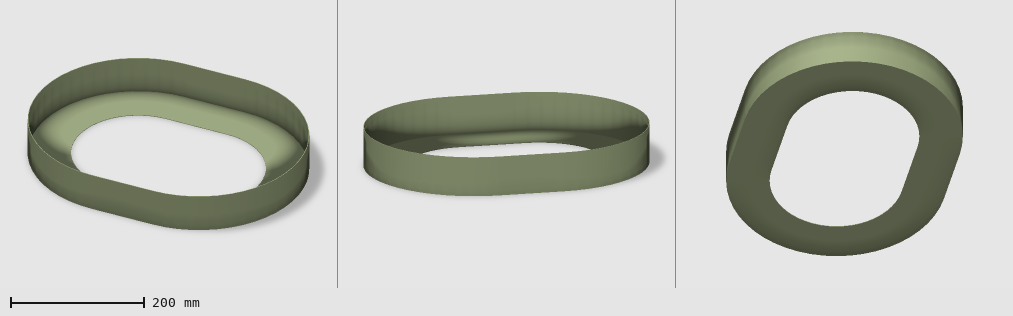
import cadquery as cq

length = 430.0
width = 330.0
height = 60.0

wall = 1.0
floor = 1.0

ring_width = 65.0


def oval_prism(inset, bottom, top):
    """Solid slot shape, inset from the outer outline, between two heights."""
    profile = cq.Workplane("XY").workplane(offset=bottom)
    return profile.slot2D(length - 2 * inset, width - 2 * inset).extrude(top - bottom)


tray = oval_prism(0, 0, height).cut(oval_prism(wall, floor, height))

result = tray.cut(oval_prism(ring_width, 0, floor))